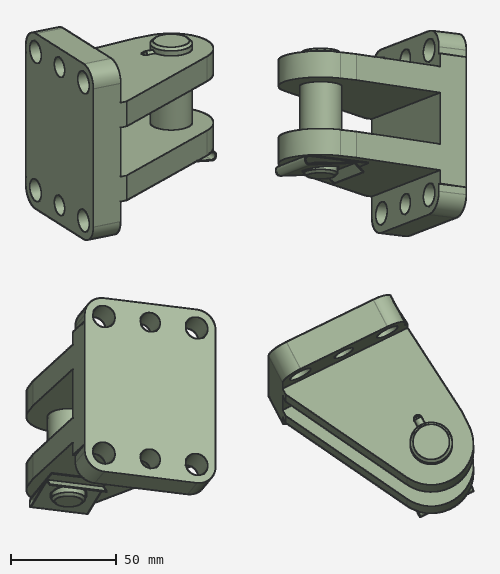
import cadquery as cq
import math

plate_width = 64.9
plate_height = 89.0
plate_depth = 14.9
corner_radius = 9.5
corner_hole_diameter = 11.0
middle_hole_diameter = 9.8

arm_inner_z = 12.5
arm_outer_z = 25.1
web_half_height = 31.6
arm_end_radius = 20.0
overall_depth = 91.0
overall_width = 70.7
arm_bend_y = 63.1
arm_arc_start_y = 71.5
arm_right_corner_y = 18.1

pin_x = -18.0
pin_y = overall_depth - arm_end_radius
pin_diameter = 20.0
pin_top_z = 29.0
pin_bottom_z = -30.9
pin_chamfer = 1.4
groove_diameter = 12.0
groove_bottom_z = -26.3
tip_diameter = 16.0

lug_diameter = 4.0
lug_top_z = 26.2
lug_axis_z = lug_top_z - lug_diameter / 2
lug_end_y = 57.0
slot_floor_z = lug_axis_z - lug_diameter / 2

clip_width = 28.2
clip_thickness = 0.55
clip_loop_radius = 2.1
clip_back_y = 87.5
clip_flat_end_y = 53.1
clip_crest_y = 60.4
clip_crest_z = -26.1
clip_tail_y = 55.7
clip_tail_z = -30.2
clip_clearance_diameter = 17.3

plate_right_x = plate_width / 2
plate_left_x = -plate_right_x
arm_left_x = plate_right_x - overall_width


def z_cylinder(x, y, diameter, bottom_z, top_z):
    """Upright cylinder between two heights."""
    base = cq.Workplane("XY", origin=(x, y, bottom_z))
    return base.circle(diameter / 2).extrude(top_z - bottom_z)


def z_box(x_min, x_max, y_min, y_max, z_min, z_max):
    """Box between opposite limits."""
    size = (x_max - x_min, y_max - y_min, z_max - z_min)
    return cq.Workplane("XY").box(*size, centered=False).translate((x_min, y_min, z_min))


def make_side_slab(bottom_z, top_z):
    """Slab with the arm outline: flared left side, round end, sloping right side."""
    dx = plate_right_x - pin_x
    dy = arm_right_corner_y - pin_y
    tangent_angle = math.atan2(dy, dx) + math.acos(arm_end_radius / math.hypot(dx, dy))
    tangent_point = (
        pin_x + arm_end_radius * math.cos(tangent_angle),
        pin_y + arm_end_radius * math.sin(tangent_angle),
    )
    arc_rise = arm_arc_start_y - pin_y
    arc_start_x = pin_x - math.sqrt(arm_end_radius**2 - arc_rise**2)
    return (
        cq.Workplane("XY", origin=(0, 0, bottom_z))
        .moveTo(plate_left_x, 0)
        .lineTo(arm_left_x, arm_bend_y)
        .lineTo(arc_start_x, arm_arc_start_y)
        .threePointArc((pin_x, overall_depth), tangent_point)
        .lineTo(plate_right_x, arm_right_corner_y)
        .lineTo(plate_right_x, 0)
        .close()
        .extrude(top_z - bottom_z)
    )


def make_plate():
    """Rounded plate with its six through holes."""
    plate = z_box(
        plate_left_x, plate_right_x, 0, plate_depth, -plate_height / 2, plate_height / 2
    ).edges("|Y").fillet(corner_radius)
    corner_x = plate_width / 2 - corner_radius
    row_z = plate_height / 2 - corner_radius
    columns = [
        (-corner_x, corner_hole_diameter),
        (0, middle_hole_diameter),
        (corner_x, corner_hole_diameter),
    ]
    for x, diameter in columns:
        for z in (-row_z, row_z):
            hole = cq.Workplane("XZ", origin=(x, 0, z)).circle(diameter / 2).extrude(-plate_depth)
            plate = plate.cut(hole)
    return plate


def make_web():
    """Part of the side slab within the plate depth, outside the plate's left edge."""
    slab = make_side_slab(-web_half_height, web_half_height)
    limit = z_box(
        arm_left_x, plate_left_x, 0, plate_depth, -web_half_height, web_half_height
    )
    return slab.intersect(limit)


def make_arms():
    """Two parallel arms rising from the plate."""
    arms = make_side_slab(arm_inner_z, arm_outer_z)
    return arms.union(make_side_slab(-arm_outer_z, -arm_inner_z))


def make_lug_slot():
    """Round-ended slot in the top of the upper arm."""
    half_width = lug_diameter / 2
    slot = z_box(
        pin_x - half_width, pin_x + half_width, lug_end_y, pin_y, slot_floor_z, arm_outer_z
    )
    return slot.union(z_cylinder(pin_x, lug_end_y, lug_diameter, slot_floor_z, arm_outer_z))


def make_bracket():
    """Plate, web and arms in one piece, bored for the pin."""
    bracket = make_plate().union(make_web()).union(make_arms())
    bore = z_cylinder(pin_x, pin_y, pin_diameter, -arm_outer_z, arm_outer_z)
    return bracket.cut(bore).cut(make_lug_slot())


def make_pin():
    """Stepped pin with a clip groove near its tip and a lug near its head."""
    shank = z_cylinder(pin_x, pin_y, pin_diameter, -arm_outer_z, pin_top_z)
    shank = shank.faces(">Z").chamfer(pin_chamfer)
    neck = z_cylinder(pin_x, pin_y, groove_diameter, groove_bottom_z, -arm_outer_z)
    tip = z_cylinder(pin_x, pin_y, tip_diameter, pin_bottom_z, groove_bottom_z)
    tip = tip.faces("<Z").chamfer(pin_chamfer)
    lug = (
        cq.Workplane("XZ", origin=(pin_x, lug_end_y, lug_axis_z))
        .circle(lug_diameter / 2)
        .extrude(lug_end_y - pin_y)
    )
    return shank.union(neck).union(tip).union(lug)


def make_clip():
    """Folded strip: flat leg in the pin groove, loop, sloping leg and turned-down tail."""
    flat_z = -arm_outer_z - clip_thickness / 2
    loop_y = clip_back_y - clip_thickness / 2 - clip_loop_radius
    loop_z = flat_z - clip_loop_radius

    dy = clip_crest_y - loop_y
    dz = clip_crest_z - loop_z
    leg_angle = math.atan2(dz, dy) + math.acos(clip_loop_radius / math.hypot(dy, dz))
    leg_start = (
        loop_y + clip_loop_radius * math.cos(leg_angle),
        loop_z + clip_loop_radius * math.sin(leg_angle),
    )
    path = (
        cq.Workplane("YZ", origin=(pin_x, 0, 0))
        .moveTo(clip_flat_end_y, flat_z)
        .lineTo(loop_y, flat_z)
        .threePointArc((loop_y + clip_loop_radius, loop_z), leg_start)
        .lineTo(clip_crest_y, clip_crest_z)
        .lineTo(clip_tail_y, clip_tail_z)
    )
    strip = (
        cq.Workplane("XZ", origin=(pin_x, clip_flat_end_y, flat_z))
        .rect(clip_width, clip_thickness)
        .sweep(path, transition="right")
    )
    leg_gap_z = flat_z - clip_thickness / 2
    groove_hole = z_cylinder(pin_x, pin_y, groove_diameter, leg_gap_z, -arm_outer_z)
    tip_hole = z_cylinder(pin_x, pin_y, clip_clearance_diameter, pin_bottom_z, leg_gap_z)
    return strip.cut(groove_hole).cut(tip_hole)


bracket = make_bracket()
pin = make_pin()
clip = make_clip()

result = cq.Compound.makeCompound([bracket.val(), pin.val(), clip.val()])